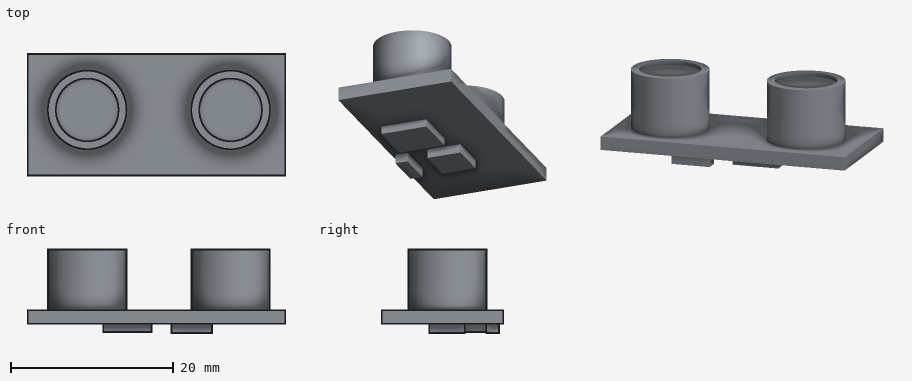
import cadquery as cq

board_length = 31.8
board_width = 15.0
board_thickness = 1.7

can_diameter = 9.7
can_height = 7.5
can_pitch = 17.7
can_pair_center_x = 0.3
can_center_y = 0.6

recess_diameter = 7.75
recess_depth = 0.5

square_chip_side = 6.0
square_chip_height = 1.0
square_chip_x = -6.6
square_chip_y = -0.5

tall_chip_length = 5.0
tall_chip_height = 1.15
tall_chip_x = 1.85
wide_chip_width = 4.4
wide_chip_y = -1.65
narrow_chip_width = 1.6
narrow_chip_y = 5.4


def make_board():
    return cq.Workplane("XY").box(
        board_length, board_width, board_thickness, centered=(True, True, False)
    )


def make_can(center_x):
    """Transducer can with a recessed top face."""
    can = (
        cq.Workplane("XY", origin=(center_x, can_center_y, board_thickness))
        .circle(can_diameter / 2)
        .extrude(can_height)
    )
    return can.faces(">Z").workplane().circle(recess_diameter / 2).cutBlind(-recess_depth)


def make_chip(min_x, min_y, length, width, height):
    """Rectangular component hanging below the board, placed by its low X, low Y corner."""
    return (
        cq.Workplane("XY", origin=(min_x, min_y, 0))
        .rect(length, width, centered=False)
        .extrude(-height)
    )


result = make_board()

for side in (-1, 1):
    result = result.union(make_can(can_pair_center_x + side * can_pitch / 2))

result = result.union(
    make_chip(square_chip_x, square_chip_y, square_chip_side, square_chip_side, square_chip_height)
)

for chip_y, chip_width in ((wide_chip_y, wide_chip_width), (narrow_chip_y, narrow_chip_width)):
    result = result.union(
        make_chip(tall_chip_x, chip_y, tall_chip_length, chip_width, tall_chip_height)
    )